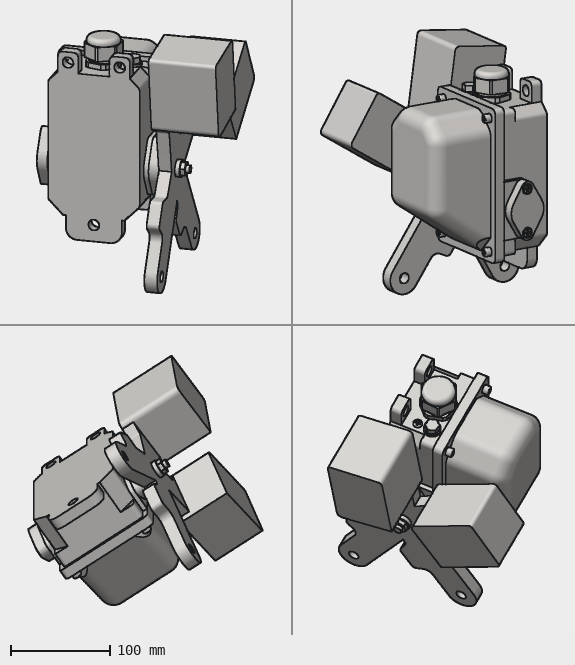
import cadquery as cq
import math


edge_round = 4.8

box_half_x = 48.0
box_depth = 54.5
box_top = 102.8
box_bottom = -49.5
corner_cut_depth = 38.0
top_corner_cut = 10.2
bottom_corner_cut = 15.8

foot_thickness = 12.0
foot_hole_radius = 5.5
ear_inner_x = 16.3
ear_outer_x = 37.8
ear_top = 124.8
ear_hole_x = (ear_inner_x + ear_outer_x) / 2
ear_hole_z = 113.5
lug_half_x = 29.3
lug_bottom = -74.8
lug_round = 12.0
lug_hole_z = -57.2

shaft_y = 34.0
flange_radius = 19.5
flange_tip_radius = 7.7
flange_tip_z = 23.0
flange_face_x = 64.0

screw_head_radius = 4.5
screw_head_height = 6.6
screw_seat_radius = 5.4
screw_seat_depth = 2.0
screw_head_round = 1.8
cross_length = 5.0
cross_width = 1.3
cross_depth = 1.5
earth_screw_height = 2.5

earth_x = 29.0
earth_y = 26.3
plug_y = 42.5
plug_flange_radius = 8.7
plug_flange_height = 2.5
plug_hex_radius = 7.7
plug_height = 9.0
plug_turn = -10

cover_half_x = 53.0
cover_top = 108.0
cover_bottom = -53.8
cover_thickness = 11.0
cover_round = 5.5
cover_mid_z = (cover_top + cover_bottom) / 2
cover_face_y = box_depth + cover_thickness
cover_screw_x = 42.4
cover_screw_dz = 70.0

dome_half_x = 45.2
dome_top = 102.0
dome_face_y = 133.0
dome_round = 14.8
dome_corner_cut = 20.0
dome_slope_angle = 35
dome_slope_end = -45.7
dome_notch_start = -27.3

gland_y = 35.5
gland_hex_flat = 17.5
gland_nut_corner_radius = 19.6
gland_base_corner_radius = 19.1
gland_base_height = 5.5
gland_base_turn = 15
gland_nut_bottom = 111.8
gland_nut_top = 126.8
gland_nut_turn = -5
gland_neck_radius = 15.3
gland_cap_radius = 17.4
gland_cap_top = 133.7

lever_thickness = 13.5
leg_length = 112.0
leg_half_width = 16.8
leg_hole_radius = 5.4
arm_half_width = 17.9
arm_tilt = 27.2
arm_edge_reach = 35.7
arm_overlap = 2.5
arm_back_bend_z = -4.0
arm_neck = (3.5, 54.9)
arm_neck_round = 2.5
arm_bends = [(-7.1, 30.5), (-15.0, 13.0)]
shoulder_y = -21.0
shoulder_z = -34.5
hook_top_z = -42.5
hook_bottom_z = -69.7
hook_root_z = -73.2
hook_out = 35.5
hook_concave_radius = 9.0
hook_shoulder_radius = 6.0
weight_width = 61.5
weight_length = 81.6
weight_offset = 38.3
weight_end_round = 3.5
weight_base_round = 6.5
weight_base_rise = 2.5
weight_start = 58.2
lever_arms = [(35.3, 134.5), (-29.8, 121.0)]

washer_radius = 9.0
washer_thickness = 4.8
nut_corner_radius = 7.7
nut_turn = 46
nut_thickness = 4.8
stud_radius = 4.0
stud_length = 4.0


def rounded_outline(plane, corners):
    """Closed wire through corners given as (x, y, radius); radius 0 keeps the corner sharp."""
    def cut_back(corner, other, distance):
        span = math.dist(corner[:2], other[:2])
        return tuple(corner[i] + (other[i] - corner[i]) * distance / span for i in (0, 1))

    stretches = []
    for i, corner in enumerate(corners):
        before = corners[i - 1]
        after = corners[(i + 1) % len(corners)]
        radius = corner[2]
        if radius == 0:
            stretches.append([corner[:2]])
            continue
        angle_before = math.atan2(before[1] - corner[1], before[0] - corner[0])
        angle_after = math.atan2(after[1] - corner[1], after[0] - corner[0])
        half_angle = abs(math.remainder(angle_after - angle_before, 2 * math.pi)) / 2
        start = cut_back(corner, before, radius / math.tan(half_angle))
        end = cut_back(corner, after, radius / math.tan(half_angle))
        chord_middle = ((start[0] + end[0]) / 2, (start[1] + end[1]) / 2)
        middle = cut_back(corner, chord_middle, radius / math.sin(half_angle) - radius)
        stretches.append([start, middle, end])

    outline = plane.moveTo(*stretches[0][-1])
    for stretch in stretches[1:] + stretches[:1]:
        outline = outline.lineTo(*stretch[0])
        if len(stretch) == 3:
            outline = outline.threePointArc(stretch[1], stretch[2])
    return outline.close()


def xz_plane(y):
    """Work plane at the given Y whose extrusions run toward +Y; its local x axis is -X."""
    return cq.Workplane(cq.Plane((0, y, 0), xDir=(-1, 0, 0), normal=(0, 1, 0)))


def yz_plane(x):
    """Work plane at the given X whose extrusions run toward +X; its local axes are Y and Z."""
    return cq.Workplane("YZ", origin=(x, 0, 0))


def xy_plane(z):
    return cq.Workplane("XY", origin=(0, 0, z))


def block(x_range, y_range, z_range):
    """Box filling the given (low, high) range on each axis."""
    size = [high - low for low, high in (x_range, y_range, z_range)]
    return cq.Workplane("XY").box(*size, centered=False).translate((x_range[0], y_range[0], z_range[0]))


def cross_recess(plane):
    """Cross slot cut down into a screw head whose top lies in the given plane."""
    slot = plane.rect(cross_length, cross_width).extrude(-cross_depth)
    return slot.union(plane.rect(cross_width, cross_length).extrude(-cross_depth))


def screw_head(plane, height):
    """Round screw head with a cross recess, standing on the given plane."""
    head = plane.circle(screw_head_radius).extrude(height)
    head = head.faces(cq.DirectionMinMaxSelector(plane.plane.zDir)).edges().fillet(screw_head_round)
    return head.cut(cross_recess(plane.workplane(offset=height)))


def hexagon(plane, radius, turn):
    """Regular hexagon with one corner at the given angle from the local x axis."""
    angles = [math.radians(turn + 60 * i) for i in range(6)]
    return plane.polyline([(radius * math.cos(a), radius * math.sin(a)) for a in angles]).close()


def housing_box():
    """Rounded box whose corners are bevelled over its front part."""
    outline = [(x, z, edge_round) for x, z in (
        (-box_half_x, box_bottom), (box_half_x, box_bottom), (box_half_x, box_top), (-box_half_x, box_top))]
    back = rounded_outline(xz_plane(corner_cut_depth), outline).extrude(box_depth - corner_cut_depth)
    right_side = [
        (box_half_x - bottom_corner_cut, box_bottom, 0),
        (box_half_x, box_bottom + bottom_corner_cut, edge_round),
        (box_half_x, box_top - top_corner_cut, edge_round),
        (box_half_x - top_corner_cut, box_top, 0),
    ]
    left_side = [(-x, z, radius) for x, z, radius in reversed(right_side)]
    front = rounded_outline(xz_plane(0), right_side + left_side).extrude(corner_cut_depth)
    return back.union(front)


def mounting_feet():
    lug = rounded_outline(xz_plane(0), [
        (-lug_half_x, lug_bottom, lug_round), (lug_half_x, lug_bottom, lug_round),
        (lug_half_x, box_bottom, 0), (-lug_half_x, box_bottom, 0)]).extrude(foot_thickness)
    feet = lug.cut(xz_plane(0).center(0, lug_hole_z).circle(foot_hole_radius).extrude(foot_thickness))
    for side in (-1, 1):
        ear = rounded_outline(xz_plane(0), [
            (side * ear_inner_x, box_top, 0), (side * ear_outer_x, box_top, 0),
            (side * ear_outer_x, ear_top, edge_round), (side * ear_inner_x, ear_top, edge_round),
        ]).extrude(foot_thickness)
        hole = xz_plane(0).center(side * ear_hole_x, ear_hole_z).circle(foot_hole_radius)
        feet = feet.union(ear.cut(hole.extrude(foot_thickness)))
    return feet


def flange_plate(x, thickness):
    """Lens-shaped plate: a round centre drawn out to two smaller round tips."""
    lean = math.asin((flange_radius - flange_tip_radius) / flange_tip_z)
    side_y = flange_radius * math.cos(lean)
    side_z = flange_radius * math.sin(lean)
    tip_y = flange_tip_radius * math.cos(lean)
    tip_z = flange_tip_z + flange_tip_radius * math.sin(lean)
    tip_end = flange_tip_z + flange_tip_radius
    return (
        yz_plane(x).center(shaft_y, 0)
        .moveTo(side_y, -side_z).threePointArc((flange_radius, 0), (side_y, side_z))
        .lineTo(tip_y, tip_z).threePointArc((0, tip_end), (-tip_y, tip_z))
        .lineTo(-side_y, side_z).threePointArc((-flange_radius, 0), (-side_y, -side_z))
        .lineTo(-tip_y, -tip_z).threePointArc((0, -tip_end), (tip_y, -tip_z))
        .close().extrude(thickness)
    )


def flange_bosses():
    """Low boss on each side of the housing that carries a flange and runs back to the cover."""
    thickness = cover_half_x - box_half_x
    half_height = flange_tip_z + flange_tip_radius
    left_boss = flange_plate(-cover_half_x, thickness).union(
        block((-cover_half_x, -box_half_x), (shaft_y, box_depth), (-half_height, half_height)))
    return left_boss.union(left_boss.mirror("YZ"))


def sealing_plug():
    base = xy_plane(box_top).center(earth_x, plug_y)
    flange = base.circle(plug_flange_radius).extrude(plug_flange_height)
    return flange.union(hexagon(base, plug_hex_radius, plug_turn).extrude(plug_height))


def gland_hex(bottom, height, corner_radius, turn):
    """Hexagon with its corners turned down to a cylinder; turn 0 points a corner toward -Y."""
    plane = xy_plane(bottom).center(0, gland_y)
    full_radius = gland_hex_flat / math.cos(math.radians(30))
    prism = hexagon(plane, full_radius, turn - 90).extrude(height)
    return prism.intersect(plane.circle(corner_radius).extrude(height))


def cable_gland():
    base = gland_hex(box_top, gland_base_height, gland_base_corner_radius, gland_base_turn)
    nut_height = gland_nut_top - gland_nut_bottom
    nut = gland_hex(gland_nut_bottom, nut_height, gland_nut_corner_radius, gland_nut_turn)
    neck = xy_plane(box_top).center(0, gland_y).circle(gland_neck_radius).extrude(gland_nut_top - box_top)
    cap = xy_plane(gland_nut_top).center(0, gland_y).circle(gland_cap_radius)
    cap = cap.extrude(gland_cap_top - gland_nut_top).faces(">Z").edges().fillet(edge_round)
    return base.union(neck).union(nut).union(cap)


def make_housing():
    body = housing_box().union(mounting_feet()).union(flange_bosses())
    earth_screw = screw_head(xy_plane(box_top).center(earth_x, earth_y), earth_screw_height)
    return body.union(sealing_plug()).union(earth_screw).union(cable_gland())


def make_flange(side):
    """Flange plate on a housing boss, side -1 or 1, with two screws set flush in its outer face."""
    flange = flange_plate(-flange_face_x, flange_face_x - cover_half_x)
    for z in (-flange_tip_z, flange_tip_z):
        face = cq.Workplane(cq.Plane((-flange_face_x, shaft_y, z), xDir=(0, -1, 0), normal=(-1, 0, 0)))
        groove = face.circle(screw_seat_radius).circle(screw_head_radius).extrude(-screw_seat_depth)
        flange = flange.cut(groove).cut(cross_recess(face))
    return flange if side < 0 else flange.mirror("YZ")


def dome():
    """Solid dome with a sloped underside, bevelled top corners and notched lower corners."""
    slope_run = dome_face_y - cover_face_y
    slope_top = dome_slope_end + slope_run * math.tan(math.radians(dome_slope_angle))
    side = (
        yz_plane(-dome_half_x)
        .polyline([(cover_face_y, dome_slope_end), (dome_face_y, slope_top),
                   (dome_face_y, dome_top), (cover_face_y, dome_top)])
        .close().extrude(2 * dome_half_x)
    )
    shape = side.edges("|Y and >Z").chamfer(dome_corner_cut)
    shape = shape.edges("not(#Y and <Y)").fillet(dome_round)
    for side_sign in (-1, 1):
        notch = (
            xz_plane(cover_face_y)
            .polyline([(side_sign * dome_half_x, dome_notch_start),
                       (side_sign * dome_half_x, dome_notch_start - dome_half_x),
                       (0, dome_notch_start - dome_half_x)])
            .close().extrude(slope_run)
        )
        shape = shape.cut(notch)
    return shape


def make_cover():
    corners = [(x, z, cover_round) for x, z in (
        (-cover_half_x, cover_bottom), (cover_half_x, cover_bottom),
        (cover_half_x, cover_top), (-cover_half_x, cover_top))]
    cover = rounded_outline(xz_plane(box_depth), corners).extrude(cover_thickness).union(dome())
    for x in (-cover_screw_x, cover_screw_x):
        for dz in (-cover_screw_dz, cover_screw_dz):
            seat = xz_plane(cover_face_y).center(x, cover_mid_z + dz)
            cover = cover.union(screw_head(seat, screw_head_height))
    return cover


def along_arm(across, along):
    """Point in the lever's own frame (leg straight down) from distances across and along the leaning arm."""
    lean = math.radians(arm_tilt)
    return (-across * math.cos(lean) + along * math.sin(lean),
            across * math.sin(lean) + along * math.cos(lean))


def lever_plate():
    """Flat lever: a leg with a round eye, a hook on its side and an arm that leans over to the weight."""
    arm_end = weight_start + arm_overlap
    corners = [
        (leg_half_width, -leg_length, 0),
        (leg_half_width, arm_back_bend_z, 0),
        (*along_arm(-leg_half_width, arm_end), 0),
        (*along_arm(arm_edge_reach, arm_end), 0),
        (*arm_neck, arm_neck_round),
        *[(y, z, 0) for y, z in arm_bends],
        (-arm_half_width, 0, 0),
        (shoulder_y, shoulder_z, hook_shoulder_radius),
        (-hook_out, hook_top_z, edge_round),
        (-hook_out, hook_bottom_z, edge_round),
        (-leg_half_width, hook_root_z, hook_concave_radius),
        (-leg_half_width, -leg_length, 0),
    ]
    plate = rounded_outline(yz_plane(flange_face_x), corners).extrude(lever_thickness)
    eye = yz_plane(flange_face_x).center(0, -leg_length)
    plate = plate.union(eye.circle(leg_half_width).extrude(lever_thickness))
    return plate.cut(eye.circle(leg_hole_radius).extrude(lever_thickness))


def lever_weight(outer_x):
    """Weight at the end of the arm, flush with the inner face of the plate."""
    far_side = weight_offset - weight_width
    end = weight_start + weight_length
    corners = [
        (*along_arm(weight_offset, weight_start), weight_base_round),
        (*along_arm(weight_offset, end), weight_end_round),
        (*along_arm(far_side, end), edge_round),
        (*along_arm(far_side, weight_start + weight_base_rise), 0),
    ]
    return rounded_outline(yz_plane(flange_face_x), corners).extrude(outer_x - flange_face_x)


def shaft_nut():
    """Washer, nut and stud end on the outer face of the lever."""
    washer_x = flange_face_x + lever_thickness
    nut_x = washer_x + washer_thickness
    stud_x = nut_x + nut_thickness
    washer = yz_plane(washer_x).center(shaft_y, 0).circle(washer_radius).extrude(washer_thickness)
    nut = hexagon(yz_plane(nut_x).center(shaft_y, 0), nut_corner_radius, nut_turn).extrude(nut_thickness)
    stud = yz_plane(stud_x).center(shaft_y, 0).circle(stud_radius).extrude(stud_length)
    return washer.union(nut).union(stud)


def make_lever():
    lever = shaft_nut()
    for turn, outer_x in lever_arms:
        arm = lever_plate().union(lever_weight(outer_x)).rotate((0, 0, 0), (1, 0, 0), turn)
        lever = lever.union(arm.translate((0, shaft_y, 0)))
    return lever


housing = make_housing()
flanges = [make_flange(side) for side in (-1, 1)]
cover = make_cover()
lever = make_lever()

result = cq.Compound.makeCompound([
    housing.solids().val(),
    *[flange.solids().val() for flange in flanges],
    cover.solids().val(),
    lever.solids().val(),
])